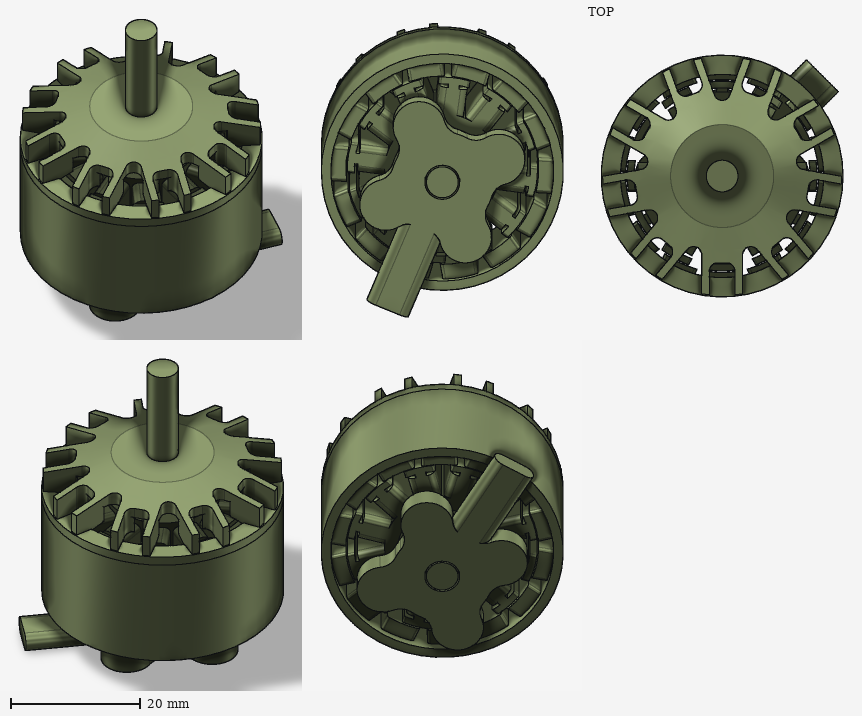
import cadquery as cq
import math

TOTAL_HEIGHT = 49.6
MOTOR_RADIUS = 37.5 / 2
SHAFT_RADIUS = 4.9 / 2

CAP_TOP_Z = 33.6
CAP_TOP_RADIUS = 15.95 / 2
FIN_OUTER_RADIUS = 18.5
FIN_TIP_Z = 30.65
CAVITY_TOP_Z = 30.3
FIN_ROOT_Z = 27.6
FIN_FOOT_Z = 26.8
RING_TOP_Z = 27.05
RING_BOTTOM_Z = 25.5
RING_INNER_RADIUS = 31.5 / 2
FIN_PAIR_COUNT = 9
FIN_PAIR_START = -90.0
FIN_INNER_OFFSET = 2.0
FIN_THICKNESS = 1.2
SLOT_END_RADIUS = 13.5
SLOT_CORNER_RADIUS = 2.55 / 2
CAVITY_RADIUS = math.hypot(SLOT_END_RADIUS, FIN_INNER_OFFSET - SLOT_CORNER_RADIUS)

CAN_BOTTOM_Z = 7.3
CAN_INNER_RADIUS = 34.5 / 2
MAGNET_COUNT = 14
MAGNET_START = 90.0
MAGNET_INNER_RADIUS = 14.95
MAGNET_WIDTH = 5.55
MAGNET_EDGE_RADIUS = 0.45
MAGNET_END_GAP = 1.5

BASE_THICKNESS = 3.55
BASE_HUB_RADIUS = CAP_TOP_RADIUS
LOBE_COUNT = 4
LOBE_RADIUS = 4.0
LOBE_CENTER_RADIUS = 9.45
LOBE_FILLET = 3.0
NECK_BOTTOM_RADIUS = 15.5 / 2
NECK_TOP_RADIUS = 13.0 / 2
NECK_TOP_Z = 12.9
NECK_SIDE_RADIUS = 7.1
SHAFT_BORE_RADIUS = 5.4 / 2

CABLE_ANGLE = 45.0
CABLE_WIDTH = 7.0
CABLE_HEIGHT = 3.05
CABLE_REACH = 21.95

TOOTH_COUNT = 12
STATOR_BOTTOM_Z = 8.95
STEM_TOP_Z = 22.8
CORE_RADIUS = 8.95
CORE_TOP_Z = 26.5
TOOTH_WIDTH = 1.7
SHOE_OUTER_RADIUS = 14.75
SHOE_INNER_RADIUS = 13.65
SHOE_WIDTH = 4.75
SHOE_TOP_Z = 25.55
SHOE_EDGE_RADIUS = 0.3
COIL_INNER_RADIUS = 8.45
COIL_OUTER_RADIUS = 13.05
COIL_WIDTH = 4.25
COIL_EDGE_RADIUS = 1.05
COIL_TOP_Z = 25.65


def tube(outer_radius, inner_radius, bottom_z, top_z):
    """Upright tube between two heights."""
    profile = cq.Workplane("XY", origin=(0, 0, bottom_z)).circle(outer_radius).circle(inner_radius)
    return profile.extrude(top_z - bottom_z)


def radial_block(inner, outer, width, bottom_z, top_z):
    """Block along +X, centred on the X axis, from one radius to another."""
    size = (outer - inner, width, top_z - bottom_z)
    return cq.Workplane("XY").box(*size, centered=(False, True, False)).translate((inner, 0, bottom_z))


def around_axis(body, angle):
    """Copy of a body turned about the motor axis."""
    return body.rotate((0, 0, 0), (0, 0, 1), angle)


def polar_angles(count, start):
    """Evenly spaced directions around the motor axis."""
    return [start + 360.0 * i / count for i in range(count)]


def make_parallel_slot():
    """Slot between the two parallel fins of the pair on +X."""
    block = radial_block(SLOT_END_RADIUS, MOTOR_RADIUS, 2 * FIN_INNER_OFFSET, 0, TOTAL_HEIGHT)
    return block.edges("|Z and <X").fillet(SLOT_CORNER_RADIUS)


def make_wedge_slot():
    """Wedge between neighbouring fin pairs, centred on +X."""
    half_angle = math.pi / FIN_PAIR_COUNT
    apex = (FIN_INNER_OFFSET + FIN_THICKNESS) / math.sin(half_angle)
    far = 2 * MOTOR_RADIUS
    half_width = (far - apex) * math.tan(half_angle)
    wedge = (
        cq.Workplane("XY")
        .polyline([(apex, 0), (far, -half_width), (far, half_width)])
        .close()
        .extrude(TOTAL_HEIGHT)
    )
    return wedge.edges("|Z and <X").fillet(SLOT_CORNER_RADIUS)


def make_cap():
    """Finned cap with its ring and the motor shaft."""
    cap = (
        cq.Workplane("XZ")
        .moveTo(0, CAP_TOP_Z)
        .lineTo(CAP_TOP_RADIUS, CAP_TOP_Z)
        .lineTo(FIN_OUTER_RADIUS, FIN_TIP_Z)
        .lineTo(FIN_OUTER_RADIUS, RING_TOP_Z)
        .lineTo(RING_INNER_RADIUS, FIN_FOOT_Z)
        .lineTo(CAVITY_RADIUS, FIN_ROOT_Z)
        .lineTo(CAVITY_RADIUS, CAVITY_TOP_Z)
        .lineTo(0, CAVITY_TOP_Z)
        .close()
        .revolve(360, (0, 0, 0), (0, 1, 0))
    )
    slot = make_parallel_slot()
    wedge = make_wedge_slot()
    for angle in polar_angles(FIN_PAIR_COUNT, FIN_PAIR_START):
        cap = cap.cut(around_axis(slot, angle))
        cap = cap.cut(around_axis(wedge, angle + 180.0 / FIN_PAIR_COUNT))
    ring = tube(MOTOR_RADIUS, RING_INNER_RADIUS, RING_BOTTOM_Z, RING_TOP_Z)
    shaft = cq.Workplane("XY").circle(SHAFT_RADIUS).extrude(TOTAL_HEIGHT)
    return cap.union(ring).union(shaft)


def make_can():
    """Tube that carries the magnets, open at the bottom."""
    can = tube(MOTOR_RADIUS, CAN_INNER_RADIUS, CAN_BOTTOM_Z, RING_BOTTOM_Z)
    bottom_z = CAN_BOTTOM_Z + MAGNET_END_GAP
    top_z = RING_BOTTOM_Z - MAGNET_END_GAP
    block = radial_block(CORE_RADIUS, MOTOR_RADIUS, MAGNET_WIDTH, bottom_z, top_z)
    block = block.edges("|X").fillet(MAGNET_EDGE_RADIUS)
    magnet = block.intersect(tube((CAN_INNER_RADIUS + MOTOR_RADIUS) / 2, MAGNET_INNER_RADIUS, bottom_z, top_z))
    for angle in polar_angles(MAGNET_COUNT, MAGNET_START):
        can = can.union(around_axis(magnet, angle))
    return can


def lobe_fillet_filler():
    """Fills the corners between the hub and the lobe on +X, up to concave arcs tangent to both."""
    hub_reach = BASE_HUB_RADIUS + LOBE_FILLET
    lobe_reach = LOBE_RADIUS + LOBE_FILLET
    along = (LOBE_CENTER_RADIUS**2 + hub_reach**2 - lobe_reach**2) / (2 * LOBE_CENTER_RADIUS)
    across = math.sqrt(hub_reach**2 - along**2)
    hub_share = BASE_HUB_RADIUS / hub_reach
    lobe_share = LOBE_RADIUS / lobe_reach
    on_hub = (along * hub_share, across * hub_share)
    on_lobe = (LOBE_CENTER_RADIUS + (along - LOBE_CENTER_RADIUS) * lobe_share, across * lobe_share)
    lean = math.hypot(along - LOBE_CENTER_RADIUS / 2, across)
    middle = (
        along - LOBE_FILLET * (along - LOBE_CENTER_RADIUS / 2) / lean,
        across - LOBE_FILLET * across / lean,
    )
    half = (
        cq.Workplane("XY")
        .lineTo(*on_hub)
        .threePointArc(middle, on_lobe)
        .lineTo(LOBE_CENTER_RADIUS, 0)
        .close()
        .extrude(BASE_THICKNESS)
    )
    return half.union(half.mirror("XZ"))


def make_base():
    """Four-lobed mounting plate."""
    base = cq.Workplane("XY").circle(BASE_HUB_RADIUS).extrude(BASE_THICKNESS)
    lobe = cq.Workplane("XY").center(LOBE_CENTER_RADIUS, 0).circle(LOBE_RADIUS).extrude(BASE_THICKNESS)
    lobe = lobe.union(lobe_fillet_filler())
    for angle in polar_angles(LOBE_COUNT, 0):
        base = base.union(around_axis(lobe, angle))
    return base


def make_neck():
    """Flared neck between the base plate and the stator core."""
    return (
        cq.Workplane("XZ")
        .moveTo(0, BASE_THICKNESS)
        .lineTo(NECK_BOTTOM_RADIUS, BASE_THICKNESS)
        .threePointArc((NECK_SIDE_RADIUS, CAN_BOTTOM_Z), (NECK_TOP_RADIUS, NECK_TOP_Z))
        .lineTo(0, NECK_TOP_Z)
        .close()
        .revolve(360, (0, 0, 0), (0, 1, 0))
    )


def make_cable():
    """Flat cable with round sides, lying level with the bottom of the base plate."""
    section = cq.Workplane("YZ").center(0, CABLE_HEIGHT / 2).slot2D(CABLE_WIDTH, CABLE_HEIGHT)
    cable = section.extrude(CABLE_REACH)
    return around_axis(cable, CABLE_ANGLE)


def make_tooth():
    """Stator tooth on +X with its pole shoe and coil."""
    stem = radial_block(0, (SHOE_INNER_RADIUS + SHOE_OUTER_RADIUS) / 2, TOOTH_WIDTH, STATOR_BOTTOM_Z, STEM_TOP_Z)
    shoe = radial_block(CORE_RADIUS, MOTOR_RADIUS, SHOE_WIDTH, STATOR_BOTTOM_Z, SHOE_TOP_Z)
    shoe = shoe.edges("|X").fillet(SHOE_EDGE_RADIUS)
    shoe = shoe.intersect(tube(SHOE_OUTER_RADIUS, SHOE_INNER_RADIUS, STATOR_BOTTOM_Z, SHOE_TOP_Z))
    coil = radial_block(COIL_INNER_RADIUS, COIL_OUTER_RADIUS, COIL_WIDTH, STATOR_BOTTOM_Z, COIL_TOP_Z)
    coil = coil.edges("|X").fillet(COIL_EDGE_RADIUS)
    return stem.union(shoe).union(coil)


def make_stator():
    """Base plate, neck, cable and wound stator around the shaft bore."""
    core = cq.Workplane("XY", origin=(0, 0, STATOR_BOTTOM_Z)).circle(CORE_RADIUS)
    stator = core.extrude(CORE_TOP_Z - STATOR_BOTTOM_Z)
    tooth = make_tooth()
    for angle in polar_angles(TOOTH_COUNT, 0):
        stator = stator.union(around_axis(tooth, angle))
    stator = stator.union(make_neck()).union(make_base()).union(make_cable())
    return stator.cut(cq.Workplane("XY").circle(SHAFT_BORE_RADIUS).extrude(TOTAL_HEIGHT))


cap = make_cap()
can = make_can()
stator = make_stator()
result = cq.Compound.makeCompound([cap.val(), can.val(), stator.val()])